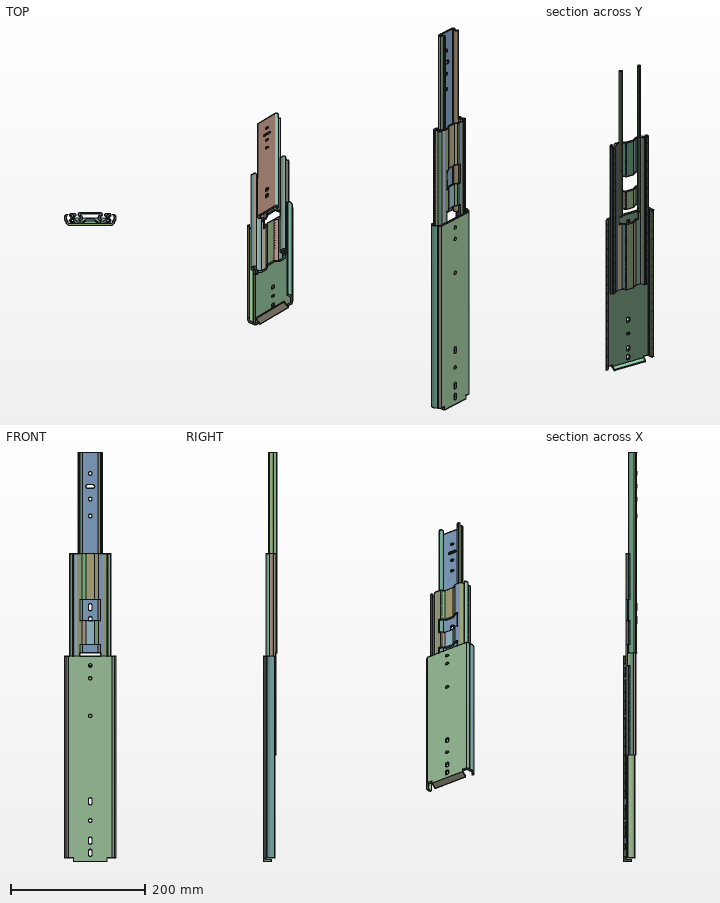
import cadquery as cq

total_height = 609.0
tab_drop = 5.5
channel_length = 300.0
inner_length = 298.5
outer_bottom = tab_drop
middle_bottom = 158.0
inner_bottom = total_height - inner_length

total_depth = 19.5
half_width = 38.65
outer_sheet = 3.0
middle_sheet = 2.5
inner_sheet = 2.15
fold_top = 18.0
rib_height = 7.0
race_height = 11.0

hole_diameter = 5.2
slot_length = 10.5
cross_slot_length = 13.0
outer_hole_heights = [61.0, 217.0, 273.0, 291.5]
outer_slot_heights = [13.0, 31.0, 89.5]
inner_hole_heights = [514.5, 539.5, 578.0]
inner_slot_heights = [359.0, 378.5]
cross_slot_height = 558.0
window_width = 31.0
window_height = 31.0
window_bottoms = [291.5, 358.5]

tab_width = 50.5
tab_depth = 11.25
tab_sheet = 3.0


def channel(half_outline, bottom, length):
    """Channel along Z, symmetric about X = 0, from the -X half of its section.

    The outline starts and ends on the symmetry plane. Each step is a tuple of points:
    the end of a straight stretch, or the middle and the end of an arc.
    """
    outline = cq.Workplane("XY", origin=(0, 0, bottom))
    outline = outline.moveTo(*half_outline[0][0])
    for step in half_outline[1:]:
        if len(step) == 1:
            outline = outline.lineTo(*step[0])
        else:
            outline = outline.threePointArc(*step)
    half = outline.close().extrude(length)
    return half.union(half.mirror("YZ"))


def web_cutter(outline):
    """Cutter that takes an outline, drawn on the XZ plane, through the whole depth along Y."""
    return outline.extrude(-total_depth)


def holes(heights):
    """Cutter for round holes on the centre line, at the given Z."""
    points = [(0, z) for z in heights]
    return web_cutter(cq.Workplane("XZ").pushPoints(points).circle(hole_diameter / 2))


def slots(heights, length, angle):
    """Cutter for slots on the centre line, at the given Z, turned by an angle from X."""
    points = [(0, z) for z in heights]
    return web_cutter(cq.Workplane("XZ").pushPoints(points).slot2D(length, hole_diameter, angle))


def make_outer():
    outline = [
        ((0, 0),),
        ((-32.0, 0),),
        ((-35.75, 3.3),),
        ((-35.75, 5.1),),
        ((-half_width, race_height), (-35.75, 16.8)),
        ((-33.5, 16.15),),
        ((outer_sheet - half_width, race_height), (-33.35, 7.0)),
        ((-33.0, 4.55),),
        ((-31.5, outer_sheet),),
        ((0, outer_sheet),),
    ]
    body = channel(outline, outer_bottom, channel_length)
    on_web = (True, False, False)
    tab_web = cq.Workplane("XY").box(tab_width, outer_sheet, tab_drop, centered=on_web)
    tab_lip = cq.Workplane("XY").box(tab_width, tab_depth, tab_sheet, centered=on_web)
    body = body.union(tab_web).union(tab_lip)
    return body.cut(holes(outer_hole_heights)).cut(slots(outer_slot_heights, slot_length, 90))


def make_middle():
    low = outer_sheet
    high = low + middle_sheet
    rib_back = rib_height + middle_sheet
    outline = [
        ((0, rib_height),),
        ((-6.4, rib_height),),
        ((-11.95, low),),
        ((-19.5, low),),
        ((-23.0, 4.55), (-24.65, 8.0)),
        ((-26.0, race_height), (-24.15, 14.5)),
        ((-26.0, 15.95), (-28.3, 14.5)),
        ((-26.35, race_height), (-28.3, 8.0)),
        ((-28.2, 7.0), (-27.0, 6.0)),
        ((-27.0, 3.5),),
        ((-30.0, 5.2), (-30.7, 8.5)),
        ((-28.8, race_height), (-30.7, 14.3)),
        ((-30.15, 17.0), (-27.5, fold_top)),
        ((-24.5, fold_top),),
        ((-22.0, 17.0), (-21.6, 14.5)),
        ((-23.55, race_height), (-21.6, 8.0)),
        ((-19.0, high),),
        ((-11.25, high),),
        ((-5.8, rib_back),),
        ((0, rib_back),),
    ]
    body = channel(outline, middle_bottom, channel_length)
    for bottom in window_bottoms:
        middle_z = bottom + window_height / 2
        window = cq.Workplane("XZ").center(0, middle_z).rect(window_width, window_height)
        body = body.cut(web_cutter(window))
    return body


def make_inner():
    web_front = total_depth - inner_sheet
    outline = [
        ((0, total_depth),),
        ((-15.0, total_depth),),
        ((-17.95, 17.0), (-17.0, 14.3)),
        ((-14.5, race_height), (-17.35, 8.5)),
        ((-15.5, 7.0),),
        ((-11.5, race_height), (-14.3, 15.0)),
        ((-14.3, web_front),),
        ((0, web_front),),
    ]
    body = channel(outline, inner_bottom, inner_length)
    body = body.cut(holes(inner_hole_heights))
    body = body.cut(slots(inner_slot_heights, slot_length, 90))
    return body.cut(slots([cross_slot_height], cross_slot_length, 0))


outer = make_outer()
middle = make_middle()
inner = make_inner()
result = cq.Compound.makeCompound([outer.solids().val(), middle.solids().val(), inner.solids().val()])